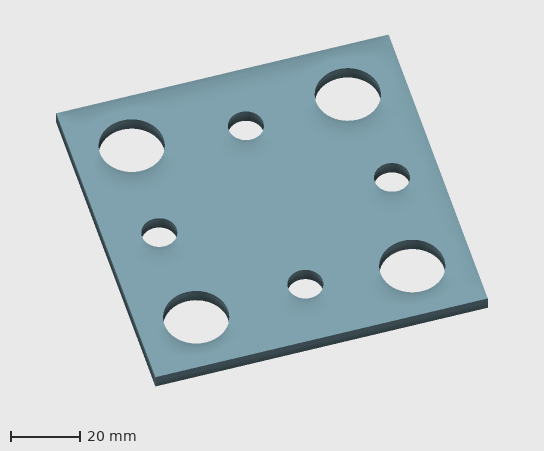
import cadquery as cq

plate_side = 100.0
plate_thickness = 4.4

corner_hole_diameter = 19.1
corner_hole_offset = 32.5

small_hole_diameter = 10.4
small_hole_offset_x = 30.0
small_hole_offset_y = 35.0
small_hole_shift_y = 1.1

corner_hole_centres = [
    (x_side * corner_hole_offset, y_side * corner_hole_offset)
    for x_side in (-1, 1)
    for y_side in (-1, 1)
]
small_hole_centres = [
    (-small_hole_offset_x, small_hole_shift_y),
    (small_hole_offset_x, small_hole_shift_y),
    (0, small_hole_shift_y - small_hole_offset_y),
    (0, small_hole_shift_y + small_hole_offset_y),
]


def drill_through(body, centres, diameter):
    """Cut a through hole from the top face at each centre."""
    return body.faces(">Z").workplane(origin=(0, 0, 0)).pushPoints(centres).hole(diameter)


plate = cq.Workplane("XY").box(plate_side, plate_side, plate_thickness)
plate = drill_through(plate, corner_hole_centres, corner_hole_diameter)
result = drill_through(plate, small_hole_centres, small_hole_diameter)